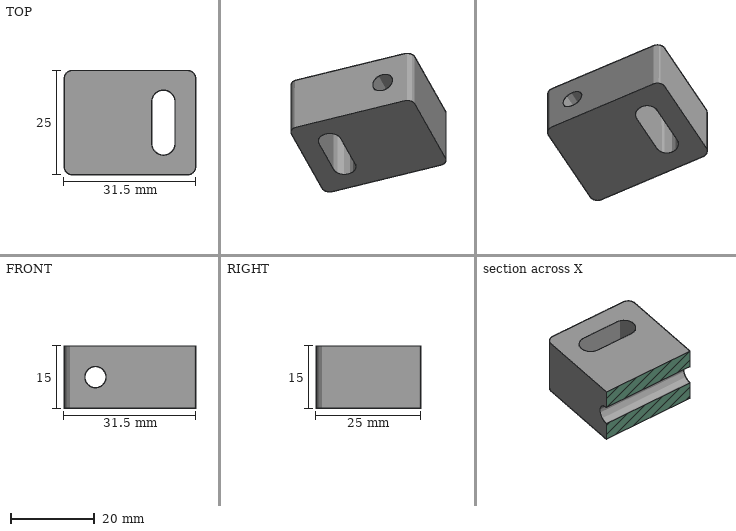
import cadquery as cq

length = 31.5
width = 25.0
height = 15.0
corner_radius = 2.0

hole_diameter = 5.0
hole_from_left = 7.5

slot_length = 15.5
slot_width = 5.5
slot_from_left = 23.75


def make_block():
    block = cq.Workplane("XY").box(length, width, height, centered=(True, True, False))
    return block.edges("|Z").fillet(corner_radius)


def make_cross_hole():
    hole_x = hole_from_left - length / 2
    return (
        cq.Workplane("XZ")
        .center(hole_x, height / 2)
        .circle(hole_diameter / 2)
        .extrude(width / 2, both=True)
    )


def make_slot():
    slot_x = slot_from_left - length / 2
    return (
        cq.Workplane("XY")
        .center(slot_x, 0)
        .slot2D(slot_length, slot_width, angle=90)
        .extrude(height)
    )


result = make_block().cut(make_cross_hole()).cut(make_slot())